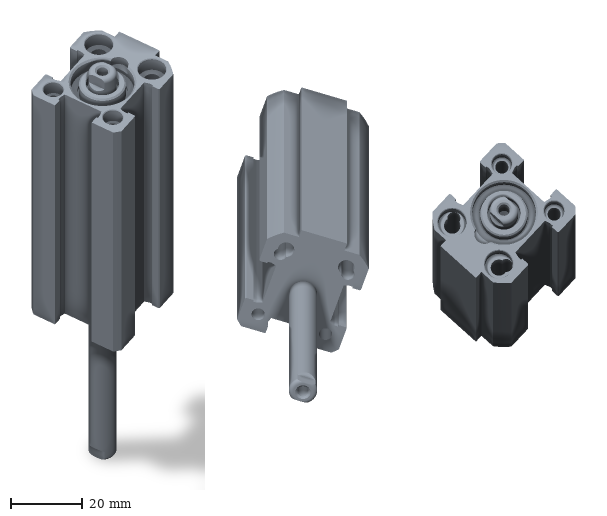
import cadquery as cq
import math

TOTAL_LENGTH = 153.0
HOUSING_LENGTH = 88.0
ROD_TOP_PROTRUSION = 4.6
HOUSING_TOP = TOTAL_LENGTH - ROD_TOP_PROTRUSION
HOUSING_BOTTOM = HOUSING_TOP - HOUSING_LENGTH

HALF_WIDTH = 15.0
SHOULDER_Y = 16.7
RAIL_Y = 19.0
RAIL_HALF_WIDTH = 6.7
CORNER_RADIUS = 20.0

SLOT_HALF_WIDTH = 6.1
SLOT_UNDERCUT = 0.5
SLOT_FLOOR = 10.0
SLOT_LIP = 2.5
SIDE_LIP_CHAMFER = 0.3
UNDERCUT_SLOPE = 1.5

BOLT_OFFSET = 10.0
BOLT_DIAMETER = 3.7
FRONT_BORE_DIAMETER = 5.7
REAR_HOLE_X = 8.9
REAR_HOLE_Y = 11.8
REAR_HOLE_DIAMETER = 4.6
REAR_BORE_DIAMETER = 8.0
BORE_DEPTH = 4.5
BORE_CHAMFER = 0.23

COVER_DIAMETER = 17.9
COVER_SEAT_DEPTH = 8.0
SEAT_MOUTH_DIAMETER = 19.0
COLLAR_DIAMETER = 13.2
COLLAR_CHAMFER = 0.5
COLLAR_RECESS = 0.5
COLLAR_BORE_DIAMETER = 9.2
COLLAR_BORE_DEPTH = 3.0
RING_INNER_DIAMETER = 14.0
RING_RECESS = 4.0
RING_THICKNESS = 1.0
NOTCH_DIAMETER = 5.7
NOTCH_Y = 8.1
NOTCH_DEPTH = 2.8

ROD_DIAMETER = 8.0
ROD_FILLET = 1.2
FLAT_WIDTH = 6.0
FLAT_LENGTH = 3.7
FLAT_RUNOUT = 0.9
TAP_DIAMETER = 3.2
TAP_MOUTH_DIAMETER = 4.3
TAP_DEPTH = 9.2
DRILL_POINT_ANGLE = 118.0


def cylinder(diameter, bottom, top, x=0.0, y=0.0):
    """Upright cylinder between two heights."""
    return cq.Workplane("XY", origin=(x, y, bottom)).circle(diameter / 2).extrude(top - bottom)


def blind_bore(diameter, depth, chamfer, top):
    """Cutter for a flat-bottomed bore sunk from the given height, with a chamfered mouth."""
    radius = diameter / 2
    profile = [
        (0, 0),
        (radius + chamfer, 0),
        (radius, -chamfer),
        (radius, -depth),
        (0, -depth),
    ]
    bore = cq.Workplane("XZ").polyline(profile).close().revolve(360, (0, 0), (0, 1))
    return bore.translate((0, 0, top))


def slot_cutter(angle, lip_chamfer=0.0):
    """Undercut slot opening toward +X, turned about the Z axis by the angle."""
    lip_inner = HALF_WIDTH - SLOT_LIP
    undercut = SLOT_HALF_WIDTH + SLOT_UNDERCUT
    half = [
        (SLOT_FLOOR, SLOT_HALF_WIDTH),
        (SLOT_FLOOR + UNDERCUT_SLOPE, undercut),
        (lip_inner, undercut),
        (lip_inner, SLOT_HALF_WIDTH),
        (HALF_WIDTH - lip_chamfer, SLOT_HALF_WIDTH),
    ]
    if lip_chamfer:
        half.append((HALF_WIDTH, SLOT_HALF_WIDTH + lip_chamfer))
    mirrored = [(x, -y) for x, y in reversed(half)]
    slot = cq.Workplane("XY", origin=(0, 0, HOUSING_BOTTOM)).polyline(half + mirrored).close()
    return slot.extrude(HOUSING_LENGTH).rotate((0, 0, 0), (0, 0, 1), angle)


def make_housing():
    """Slotted body with rounded corners, four corner hole patterns, and the cover seat on top."""
    base = cq.Workplane("XY", origin=(0, 0, HOUSING_BOTTOM))
    square = base.center(0, (SHOULDER_Y - HALF_WIDTH) / 2).rect(2 * HALF_WIDTH, SHOULDER_Y + HALF_WIDTH)
    housing = square.extrude(HOUSING_LENGTH)
    housing = housing.intersect(cylinder(2 * CORNER_RADIUS, HOUSING_BOTTOM, HOUSING_TOP))
    rail = base.center(0, RAIL_Y / 2).rect(2 * RAIL_HALF_WIDTH, RAIL_Y).extrude(HOUSING_LENGTH)
    housing = housing.union(rail)
    for angle in (0, 180):
        housing = housing.cut(slot_cutter(angle, SIDE_LIP_CHAMFER))
    housing = housing.cut(slot_cutter(270))

    front_bore = blind_bore(FRONT_BORE_DIAMETER, BORE_DEPTH, BORE_CHAMFER, HOUSING_TOP)
    rear_bore = blind_bore(REAR_BORE_DIAMETER, BORE_DEPTH, BORE_CHAMFER, HOUSING_TOP)
    for side in (-1, 1):
        bolt_x = side * BOLT_OFFSET
        rear_x = side * REAR_HOLE_X
        for bolt_y in (-BOLT_OFFSET, BOLT_OFFSET):
            housing = housing.cut(cylinder(BOLT_DIAMETER, HOUSING_BOTTOM, HOUSING_TOP, bolt_x, bolt_y))
        housing = housing.cut(cylinder(REAR_HOLE_DIAMETER, HOUSING_BOTTOM, HOUSING_TOP, rear_x, REAR_HOLE_Y))
        housing = housing.cut(front_bore.translate((bolt_x, -BOLT_OFFSET, 0)))
        housing = housing.cut(rear_bore.translate((rear_x, REAR_HOLE_Y, 0)))

    housing = housing.cut(cylinder(ROD_DIAMETER, HOUSING_BOTTOM, HOUSING_TOP))
    seat_chamfer = (SEAT_MOUTH_DIAMETER - COVER_DIAMETER) / 2
    housing = housing.cut(blind_bore(COVER_DIAMETER, COVER_SEAT_DEPTH, seat_chamfer, HOUSING_TOP))
    return housing.cut(cylinder(NOTCH_DIAMETER, HOUSING_TOP - NOTCH_DEPTH, HOUSING_TOP, 0, NOTCH_Y))


def make_cover():
    """Flange seated in the housing, with a chamfered collar around the rod."""
    flange_top = HOUSING_TOP - RING_RECESS - RING_THICKNESS
    collar_top = HOUSING_TOP - COLLAR_RECESS
    cover = cylinder(COVER_DIAMETER, HOUSING_TOP - COVER_SEAT_DEPTH, flange_top)
    collar = cylinder(COLLAR_DIAMETER, flange_top, collar_top).faces(">Z").chamfer(COLLAR_CHAMFER)
    cover = cover.union(collar)
    cover = cover.cut(blind_bore(COLLAR_BORE_DIAMETER, COLLAR_BORE_DEPTH, BORE_CHAMFER, collar_top))
    return cover.cut(cylinder(ROD_DIAMETER, HOUSING_BOTTOM, HOUSING_TOP))


def make_retaining_ring():
    """Flat ring on the flange, clear of the collar."""
    ring_top = HOUSING_TOP - RING_RECESS
    ring_bottom = ring_top - RING_THICKNESS
    ring = cylinder(COVER_DIAMETER, ring_bottom, ring_top)
    return ring.cut(cylinder(RING_INNER_DIAMETER, ring_bottom, ring_top))


def rod_end_cutter():
    """Wrench flats and tapped hole of the rod's top end."""
    radius = ROD_DIAMETER / 2
    half_flat = FLAT_WIDTH / 2
    flat_bottom = TOTAL_LENGTH - FLAT_LENGTH
    slope_bottom = flat_bottom - FLAT_RUNOUT
    profile = [
        (half_flat, TOTAL_LENGTH),
        (half_flat, flat_bottom),
        (radius, slope_bottom),
        (radius, TOTAL_LENGTH),
    ]
    flat = cq.Workplane("YZ").polyline(profile).close().extrude(radius, both=True)
    cutter = flat.union(flat.mirror("XZ"))

    tap_radius = TAP_DIAMETER / 2
    mouth_radius = TAP_MOUTH_DIAMETER / 2
    tap_bottom = TOTAL_LENGTH - TAP_DEPTH
    point_depth = tap_radius / math.tan(math.radians(DRILL_POINT_ANGLE / 2))
    tap = [
        (0, TOTAL_LENGTH),
        (mouth_radius, TOTAL_LENGTH),
        (tap_radius, TOTAL_LENGTH - (mouth_radius - tap_radius)),
        (tap_radius, tap_bottom),
        (0, tap_bottom - point_depth),
    ]
    return cutter.union(cq.Workplane("XZ").polyline(tap).close().revolve(360, (0, 0), (0, 1)))


def make_rod():
    """Rod through the housing, with the same flats and tapped hole at both ends."""
    rod = cylinder(ROD_DIAMETER, 0, TOTAL_LENGTH).faces("<Z or >Z").fillet(ROD_FILLET)
    top_cutter = rod_end_cutter()
    bottom_cutter = top_cutter.mirror("XY", (0, 0, TOTAL_LENGTH / 2))
    return rod.cut(top_cutter).cut(bottom_cutter)


housing = make_housing()
cover = make_cover()
retaining_ring = make_retaining_ring()
rod = make_rod()

result = cq.Compound.makeCompound([housing.val(), cover.val(), retaining_ring.val(), rod.val()])